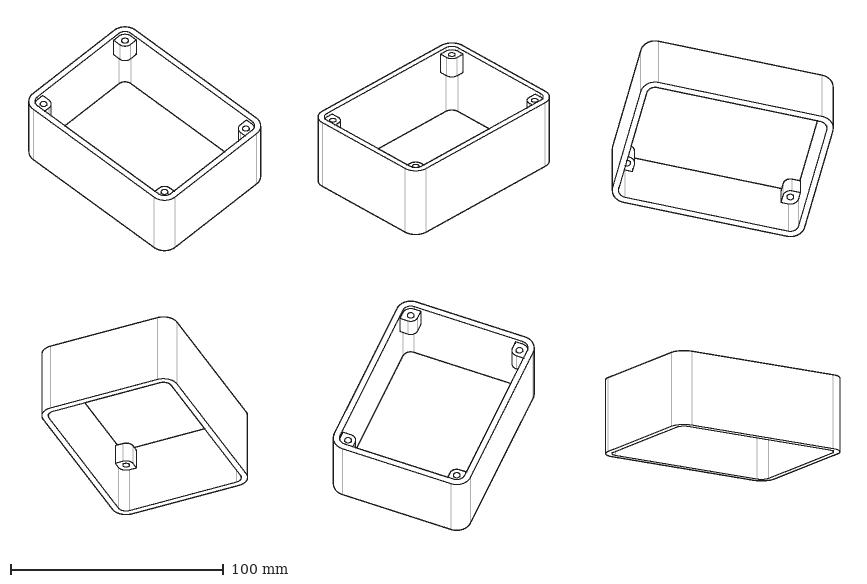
import cadquery as cq

length = 93.0
width = 69.0
height = 36.0
wall = 3.0
corner_radius = 7.0
inner_radius = corner_radius - wall

boss_reach = 10.5
boss_radius = boss_reach - corner_radius
boss_height = 10.3
boss_recess = 1.95
hole_diameter = 3.2

hole_x = length / 2 - corner_radius
hole_y = width / 2 - corner_radius
boss_top = height - boss_recess


def rounded_block(size_x, size_y, size_z, radius):
    """Block standing on Z = 0 with rounded vertical edges."""
    block = cq.Workplane("XY").box(size_x, size_y, size_z, centered=(True, True, False))
    return block.edges("|Z").fillet(radius)


def corner_boss(side_x, side_y):
    """Boss reaching into the corner, rounded on its free vertical edge."""
    free_x = side_x * (length / 2 - boss_reach)
    free_y = side_y * (width / 2 - boss_reach)
    corner_x = side_x * length / 2
    corner_y = side_y * width / 2
    return (
        cq.Workplane("XY", origin=(0, 0, boss_top - boss_height))
        .moveTo(corner_x, corner_y)
        .lineTo(free_x, corner_y)
        .lineTo(free_x, free_y)
        .lineTo(corner_x, free_y)
        .close()
        .extrude(boss_height)
        .edges(cq.selectors.NearestToPointSelector((free_x, free_y, boss_top - boss_height / 2)))
        .fillet(boss_radius)
    )


outer = rounded_block(length, width, height, corner_radius)
cavity = rounded_block(length - 2 * wall, width - 2 * wall, height, inner_radius)
result = outer.cut(cavity)

for side_x in (-1, 1):
    for side_y in (-1, 1):
        result = result.union(corner_boss(side_x, side_y).intersect(outer))

holes = (
    cq.Workplane("XY")
    .rect(2 * hole_x, 2 * hole_y, forConstruction=True)
    .vertices()
    .circle(hole_diameter / 2)
    .extrude(height)
)
result = result.cut(holes)